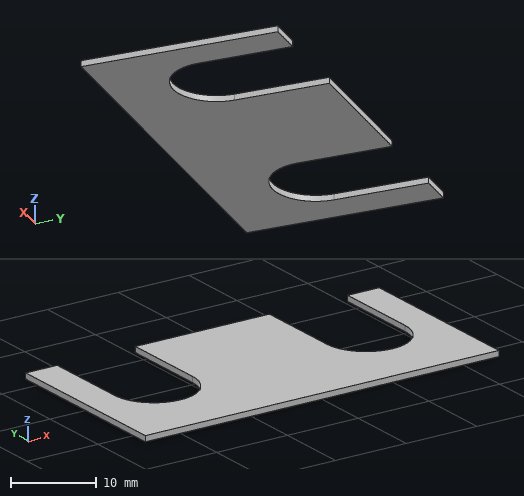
import cadquery as cq

length = 50.0
width = 25.0
thickness = 0.8

slot_width = 11.0
slot_spacing = 30.0
web_below_slot = 7.5

slot_radius = slot_width / 2
back_edge = width / 2
arc_center_y = -width / 2 + web_below_slot + slot_radius


def open_slot(center_x):
    """Cutter for one slot: straight sides ending in a half circle."""
    left = center_x - slot_radius
    right = center_x + slot_radius
    return (
        cq.Workplane("XY")
        .moveTo(left, back_edge)
        .lineTo(left, arc_center_y)
        .threePointArc((center_x, arc_center_y - slot_radius), (right, arc_center_y))
        .lineTo(right, back_edge)
        .close()
        .extrude(thickness)
    )


result = cq.Workplane("XY").box(length, width, thickness, centered=(True, True, False))
for side in (-1, 1):
    result = result.cut(open_slot(side * slot_spacing / 2))